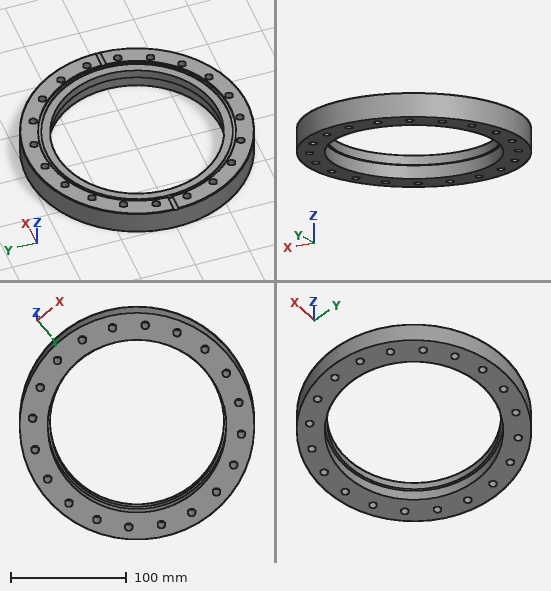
import cadquery as cq

outer_diameter = 203.0
thickness = 22.0
rim_chamfer = 0.6

bore_diameter = 150.5
socket_diameter = 154.5
bore_step_depth = 10.0

recess_diameter = 171.3
recess_depth = 1.6
knife_diameter = 165.6
knife_depth = 0.6
inner_floor_depth = 1.5

bolt_count = 20
bolt_circle_diameter = 181.0
bolt_hole_diameter = 6.7

groove_width = 4.3
groove_depth = 1.0


def flange_ring():
    """Revolve the half section of the ring about Z."""
    outer_radius = outer_diameter / 2
    bore_radius = bore_diameter / 2
    socket_radius = socket_diameter / 2
    knife_radius = knife_diameter / 2
    recess_radius = recess_diameter / 2
    step_z = thickness - bore_step_depth
    inner_floor_z = thickness - inner_floor_depth
    return (
        cq.Workplane("XZ")
        .moveTo(socket_radius, 0)
        .lineTo(outer_radius, 0)
        .lineTo(outer_radius, thickness - rim_chamfer)
        .lineTo(outer_radius - rim_chamfer, thickness)
        .lineTo(recess_radius, thickness)
        .lineTo(recess_radius, thickness - recess_depth)
        .lineTo(knife_radius, thickness - knife_depth)
        .lineTo(knife_radius, inner_floor_z)
        .lineTo(bore_radius, inner_floor_z)
        .lineTo(bore_radius, step_z)
        .lineTo(socket_radius, step_z)
        .close()
        .revolve(360, (0, 0, 0), (0, 1, 0))
    )


def bolt_holes():
    """Through holes, placed so the X axis falls midway between two of them."""
    half_pitch_angle = 180 / bolt_count
    return (
        cq.Workplane("XY")
        .polarArray(bolt_circle_diameter / 2, half_pitch_angle, 360, bolt_count)
        .circle(bolt_hole_diameter / 2)
        .extrude(thickness)
    )


def leak_check_grooves():
    """A rod across the top face, limited to the land outside the recess."""
    groove_radius = (groove_width**2 / 4 + groove_depth**2) / (2 * groove_depth)
    axis_z = thickness - groove_depth + groove_radius
    rod = (
        cq.Workplane("YZ")
        .center(0, axis_z)
        .circle(groove_radius)
        .extrude(outer_diameter / 2, both=True)
    )
    recess_core = cq.Workplane("XY").circle(recess_diameter / 2).extrude(axis_z + groove_radius)
    return rod.cut(recess_core)


result = flange_ring().cut(bolt_holes()).cut(leak_check_grooves())